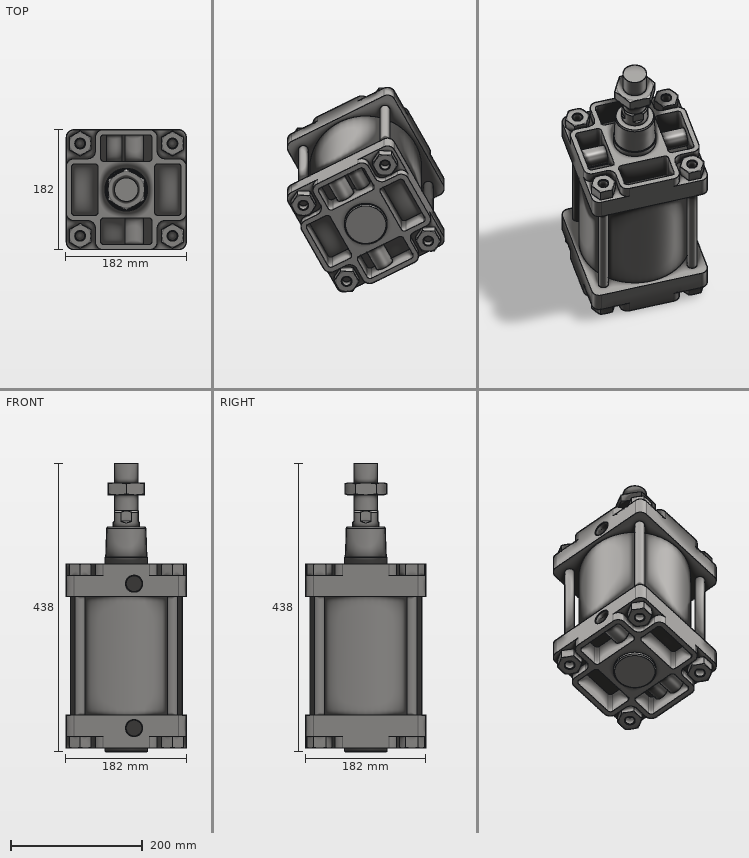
import cadquery as cq
import math


cap_width = 182.0
cap_height = 50.0
cap_corner_radius = 12.0
barrel_diameter = 170.0
barrel_length = 179.5
rear_boss_height = 6.0
rear_boss_chamfer = 1.8

rear_cap_bottom = rear_boss_height
barrel_bottom = rear_cap_bottom + cap_height
barrel_top = barrel_bottom + barrel_length
head_cap_top = barrel_top + cap_height

seat_size = 44.2
seat_depth = 17.5
seat_radius = 12.0
tie_rod_diameter = 15.5
tie_rod_offset = 70.0
tie_nut_across_flats = 33.0
tie_nut_hole_diameter = 14.0
tie_nut_hole_mouth = 16.0
tie_nut_hole_depth = 16.0
countersink_angle = 90
tie_rod_places = [(sx * tie_rod_offset, sy * tie_rod_offset) for sx in (-1, 1) for sy in (-1, 1)]

wall = 8.0
pocket_floor = 7.0
pocket_length = 78.5
pocket_width = 40.5
pocket_radius = 5.3
pocket_center = cap_width / 2 - wall - pocket_width / 2
port_x = 12.0
port_height = 19.5
port_diameter = 24.0
port_mouth_chamfer = 1.0
port_boss_diameter = 28.0
cushion_boss_x = -18.0
cushion_boss_height = 12.3
cushion_boss_diameter = 23.5

guide_diameter = 65.0
guide_flange_height = 9.0
guide_ledge_height = 1.0
guide_taper_bottom_diameter = 62.5
guide_taper_top_diameter = 59.5
guide_mouth_diameter = 57.0
guide_chamfer_height = 2.5
guide_height = 56.0
guide_top = head_cap_top + guide_height

overall_height = 438.0
rod_diameter = 40.0
thread_diameter = 36.0
rod_shoulder = 366.0
flat_length = 15.8
rod_across_flats = 36.5
shoulder_bevel_height = 2.5

rod_nut_across_flats = 55.0
rod_nut_height = 18.0
rod_nut_bottom = 390.3

nut_chamfer_angle = math.radians(18)


def hex_prism(across_flats, height, chamfer_bottom):
    """Hexagonal nut blank on z = 0, corners on the Y axis, with the top (and bottom) corners turned off."""
    corner_radius = across_flats / math.sqrt(3)
    face_radius = across_flats / 2
    drop = (corner_radius - face_radius) * math.tan(nut_chamfer_angle)
    prism = cq.Workplane("XY").polygon(6, 2 * corner_radius).extrude(height)
    prism = prism.rotate((0, 0, 0), (0, 0, 1), 90)
    profile = cq.Workplane("XZ").moveTo(0, 0)
    if chamfer_bottom:
        profile = profile.lineTo(face_radius, 0).lineTo(corner_radius, drop)
    else:
        profile = profile.lineTo(corner_radius, 0)
    profile = profile.lineTo(corner_radius, height - drop).lineTo(face_radius, height).lineTo(0, height)
    return prism.intersect(profile.close().revolve(360, (0, 0), (0, 1)))


def tie_nut():
    """Tie-rod nut on z = 0 with a countersunk blind hole in its outer face."""
    return (
        hex_prism(tie_nut_across_flats, seat_depth, chamfer_bottom=False)
        .faces(">Z").workplane(origin=(0, 0, 0))
        .cskHole(tie_nut_hole_diameter, tie_nut_hole_mouth, countersink_angle, depth=tie_nut_hole_depth)
    )


def pocket(angle):
    """Pocket cutter beside one side of a cap, leaving a thin wall and a floor."""
    return (
        cq.Workplane("XY", origin=(0, 0, pocket_floor))
        .center(0, -pocket_center)
        .rect(pocket_length, pocket_width)
        .extrude(cap_height)
        .edges("|Z").fillet(pocket_radius)
        .rotate((0, 0, 0), (0, 0, 1), angle)
    )


def cross_boss(x, height, diameter, side):
    """Round boss along Y that spans the pocket on the given Y side of a cap."""
    start = side * pocket_center + pocket_width / 2
    return (
        cq.Workplane("XZ", origin=(0, start, 0))
        .center(x, height)
        .circle(diameter / 2)
        .extrude(pocket_width)
    )


def air_port():
    """Air port cutter from the -Y side of a cap through its boss, with a chamfered mouth."""
    side_face = cq.Workplane("XZ", origin=(0, -cap_width / 2, 0)).center(port_x, port_height)
    bore = side_face.circle(port_diameter / 2).extrude(-(wall + pocket_width))
    mouth = (
        side_face.circle(port_diameter / 2 + port_mouth_chamfer)
        .workplane(offset=-port_mouth_chamfer)
        .circle(port_diameter / 2)
        .loft()
    )
    return bore.union(mouth)


def corner_seat(sx, sy):
    """Nut seat cutter for one cap corner: rounded inner corner, flared out to the cap sides."""
    half = cap_width / 2
    inner = half - seat_size
    flare = inner - seat_radius
    outside = half + seat_radius
    arc = seat_radius * (1 - math.sqrt(0.5))
    cutter = (
        cq.Workplane("XY", origin=(0, 0, cap_height - seat_depth))
        .moveTo(flare, outside)
        .lineTo(flare, half)
        .threePointArc((inner - arc, half - arc), (inner, half - seat_radius))
        .lineTo(inner, inner + seat_radius)
        .threePointArc((inner + arc, inner + arc), (inner + seat_radius, inner))
        .lineTo(half - seat_radius, inner)
        .threePointArc((half - arc, inner - arc), (half, flare))
        .lineTo(outside, flare)
        .lineTo(outside, outside)
        .close()
        .extrude(seat_depth)
    )
    if sx < 0:
        cutter = cutter.mirror("YZ")
    if sy < 0:
        cutter = cutter.mirror("XZ")
    return cutter


def make_cap():
    """Cap with its barrel face on z = 0 and its nuts and pockets toward +Z."""
    cap = cq.Workplane("XY").rect(cap_width, cap_width).extrude(cap_height)
    cap = cap.edges("|Z").fillet(cap_corner_radius)
    for angle in (0, 90, 180, 270):
        cap = cap.cut(pocket(angle))
    for side in (-1, 1):
        cap = cap.union(cross_boss(port_x, port_height, port_boss_diameter, side))
    cap = cap.union(cross_boss(cushion_boss_x, cushion_boss_height, cushion_boss_diameter, 1))
    cap = cap.cut(air_port())
    for sx in (-1, 1):
        for sy in (-1, 1):
            cap = cap.cut(corner_seat(sx, sy))
    for x, y in tie_rod_places:
        cap = cap.union(tie_nut().translate((x, y, cap_height - seat_depth)))
    return cap


def make_rod_guide():
    """Tapered guide on the head cap: flange, small ledge, taper and chamfered mouth."""
    flange_top = head_cap_top + guide_flange_height
    return (
        cq.Workplane("XZ")
        .moveTo(0, head_cap_top)
        .lineTo(guide_diameter / 2, head_cap_top)
        .lineTo(guide_diameter / 2, flange_top)
        .lineTo(guide_taper_bottom_diameter / 2, flange_top + guide_ledge_height)
        .lineTo(guide_taper_top_diameter / 2, guide_top - guide_chamfer_height)
        .lineTo(guide_mouth_diameter / 2, guide_top)
        .lineTo(0, guide_top)
        .close()
        .revolve(360, (0, 0), (0, 1))
    )


def make_housing():
    """Both caps, the barrel, the tie rods, the rod guide and the rear boss as one solid."""
    cap = make_cap()
    head_cap = cap.translate((0, 0, barrel_top))
    rear_cap = cap.mirror("XY").translate((0, 0, barrel_bottom))
    barrel = cq.Workplane("XY", origin=(0, 0, barrel_bottom))
    barrel = barrel.circle(barrel_diameter / 2).extrude(barrel_length)
    tie_rods = (
        cq.Workplane("XY", origin=(0, 0, barrel_bottom))
        .pushPoints(tie_rod_places)
        .circle(tie_rod_diameter / 2)
        .extrude(barrel_length)
    )
    rear_boss = cq.Workplane("XY").circle(guide_diameter / 2).extrude(rear_boss_height)
    rear_boss = rear_boss.faces("<Z").chamfer(rear_boss_chamfer)
    rod_bore = cq.Workplane("XY", origin=(0, 0, barrel_top))
    rod_bore = rod_bore.circle(rod_diameter / 2).extrude(guide_top - barrel_top)
    housing = barrel.union(tie_rods).union(head_cap).union(rear_cap)
    return housing.union(rear_boss).union(make_rod_guide()).cut(rod_bore)


def make_piston_rod():
    """Rod from the inner face of the head cap up, with four sloped-end wrench flats below a plain thread."""
    rod = (
        cq.Workplane("XZ")
        .moveTo(0, barrel_top)
        .lineTo(rod_diameter / 2, barrel_top)
        .lineTo(rod_diameter / 2, rod_shoulder - shoulder_bevel_height)
        .lineTo(thread_diameter / 2, rod_shoulder)
        .lineTo(thread_diameter / 2, overall_height)
        .lineTo(0, overall_height)
        .close()
        .revolve(360, (0, 0), (0, 1))
    )
    flats_bottom = rod_shoulder - flat_length
    around_flats = (
        cq.Workplane("XY", origin=(0, 0, flats_bottom - shoulder_bevel_height))
        .rect(2 * rod_diameter, 2 * rod_diameter)
        .extrude(flat_length + shoulder_bevel_height)
    )
    flats_core = (
        cq.Workplane("XY", origin=(0, 0, flats_bottom - shoulder_bevel_height))
        .rect(rod_diameter, rod_diameter)
        .workplane(offset=shoulder_bevel_height)
        .rect(rod_across_flats, rod_across_flats)
        .loft()
        .faces(">Z").wires().toPending()
        .extrude(flat_length)
    )
    return rod.cut(around_flats.cut(flats_core))


def make_rod_nut():
    """Hexagonal lock nut on the rod thread."""
    nut = hex_prism(rod_nut_across_flats, rod_nut_height, chamfer_bottom=True)
    hole = cq.Workplane("XY").circle(thread_diameter / 2).extrude(rod_nut_height)
    return nut.cut(hole).translate((0, 0, rod_nut_bottom))


housing = make_housing()
piston_rod = make_piston_rod()
rod_nut = make_rod_nut()
result = cq.Compound.makeCompound([housing.val(), piston_rod.val(), rod_nut.val()])